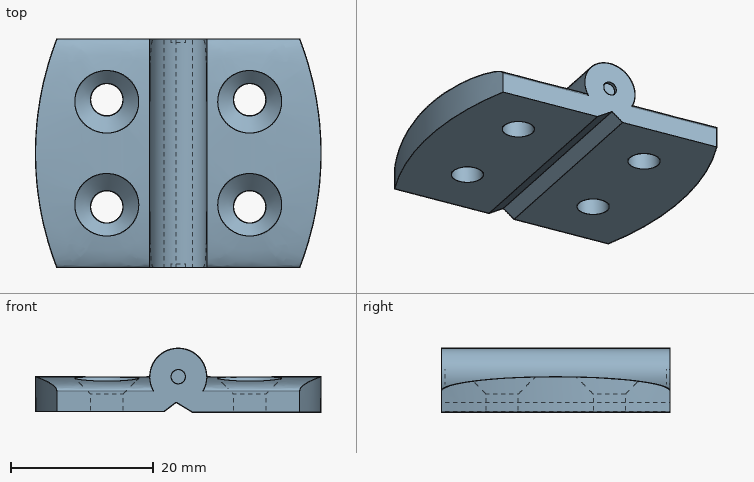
import cadquery as cq

width = 40.0
length = 32.0
half_width = width / 2
half_length = length / 2

leaf_height = 5.0
leaf_end_height = 3.0
end_width = 34.0
left_leaf_rise = 0.1

barrel_radius = 4.0
barrel_axis_z = leaf_height
pin_diameter = 2.0
pin_recess = 0.5

notch_half_width = 2.0
notch_apex_x = -0.3
notch_apex_z = 1.4

hole_pitch_x = 20.0
hole_pitch_y = 15.0
hole_diameter = 4.5
countersink_diameter = 9.4


def cylinder_along_y(radius, half_span):
    """Cylinder on the hinge axis, centred on Y = 0."""
    return cq.Workplane("XZ").center(0, barrel_axis_z).circle(radius).extrude(half_span, both=True)


def make_leaves():
    """Both leaves: a bowed plan outline under an elliptically crowned top."""
    half_end_width = end_width / 2
    plan = (
        cq.Workplane("XY")
        .moveTo(-half_end_width, -half_length)
        .lineTo(half_end_width, -half_length)
        .threePointArc((half_width, 0), (half_end_width, half_length))
        .lineTo(-half_end_width, half_length)
        .threePointArc((-half_width, 0), (-half_end_width, -half_length))
        .close()
        .extrude(leaf_height)
    )
    base = cq.Workplane("XY").box(width, length, leaf_end_height, centered=(True, True, False))
    crown = (
        cq.Workplane("YZ")
        .center(0, leaf_end_height)
        .ellipse(half_length, leaf_height - leaf_end_height)
        .extrude(half_width, both=True)
    )
    return plan.intersect(base.union(crown))


def make_barrel():
    return cylinder_along_y(barrel_radius, half_length)


def make_underside_cut():
    """Step under the -X leaf together with the V-notch below the barrel."""
    return (
        cq.Workplane("XZ")
        .moveTo(-half_width, 0)
        .lineTo(-half_width, left_leaf_rise)
        .lineTo(-notch_half_width, left_leaf_rise)
        .lineTo(notch_apex_x, notch_apex_z)
        .lineTo(notch_half_width, 0)
        .close()
        .extrude(half_length, both=True)
    )


def make_screw_hole():
    """Through hole with a 90 degree countersink, on the Z axis."""
    hole_radius = hole_diameter / 2
    rim_radius = countersink_diameter / 2
    cone_start_z = leaf_height - (rim_radius - hole_radius)
    return (
        cq.Workplane("XZ")
        .lineTo(hole_radius, 0)
        .lineTo(hole_radius, cone_start_z)
        .lineTo(rim_radius, leaf_height)
        .lineTo(0, leaf_height)
        .close()
        .revolve(360, (0, 0), (0, 1))
    )


def make_pin_recesses():
    """Shallow round recesses where the pin stops short of the barrel ends."""
    pin_radius = pin_diameter / 2
    bore = cylinder_along_y(pin_radius, half_length)
    pin = cylinder_along_y(pin_radius, half_length - pin_recess)
    return bore.cut(pin)


result = make_leaves().union(make_barrel()).cut(make_underside_cut())
for side_x in (-1, 1):
    for side_y in (-1, 1):
        hole_position = (side_x * hole_pitch_x / 2, side_y * hole_pitch_y / 2, 0)
        result = result.cut(make_screw_hole().translate(hole_position))
result = result.cut(make_pin_recesses())